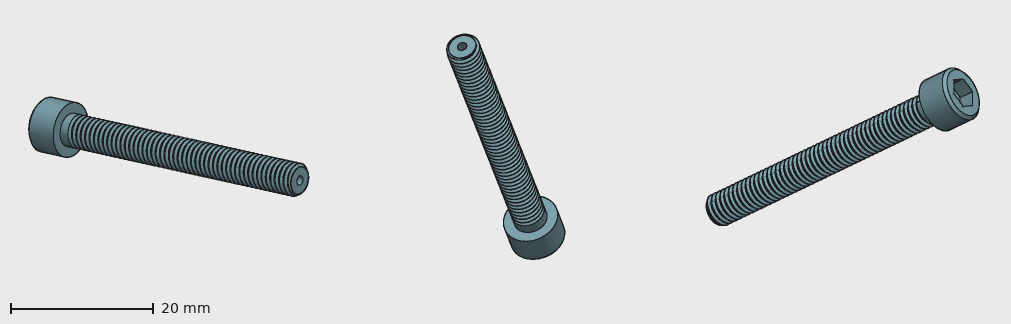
import cadquery as cq
import math

overall_length = 46.05
head_diameter = 7.85
head_height = 4.8
head_chamfer = 0.45
thread_diameter = 4.8
socket_width = 4.0
socket_depth = 2.3
bore_diameter = 1.35

groove_start_x = 6.15
thread_turns = 50.25
pitch = (overall_length - groove_start_x) / thread_turns
crest_width = pitch / 8
root_width = pitch / 4
flank_run = (pitch - crest_width - root_width) / 2
thread_depth = flank_run / math.tan(math.radians(30))

head_radius = head_diameter / 2
shank_radius = thread_diameter / 2
root_radius = shank_radius - thread_depth

cutter_overreach = 0.1


def screw_blank():
    """Head with a chamfered rim, and a plain shank coned at the tip from crest to root."""
    tip_cone_end_x = overall_length - root_width / 2
    profile = [
        (0, 0),
        (0, head_radius - head_chamfer),
        (head_chamfer, head_radius),
        (head_height, head_radius),
        (head_height, shank_radius),
        (tip_cone_end_x - flank_run, shank_radius),
        (tip_cone_end_x, root_radius),
        (overall_length, root_radius),
        (overall_length, 0),
    ]
    return cq.Workplane("XZ").polyline(profile).close().revolve(360, (0, 0, 0), (1, 0, 0))


def helix_turn(start_x, radius):
    """One turn of a right-hand helix about the X axis, starting on the +Y side."""
    turn = cq.Wire.makeHelix(pitch, pitch, radius)
    screw_plane = cq.Plane(origin=(start_x, 0, 0), xDir=(0, 1, 0), normal=(1, 0, 0))
    return turn.moved(cq.Location(screw_plane))


def thread_groove():
    """Helical V cutter that starts on the +Y side and runs out past the tip."""
    cutter_radius = shank_radius + cutter_overreach
    root_half = root_width / 2
    top_half = root_half + flank_run * (cutter_radius - root_radius) / thread_depth
    section = [
        (groove_start_x - root_half, root_radius),
        (groove_start_x + root_half, root_radius),
        (groove_start_x + top_half, cutter_radius),
        (groove_start_x - top_half, cutter_radius),
    ]
    turns = math.ceil(thread_turns) + 1
    advance = turns * pitch

    faces = []
    for turn in range(turns):
        helices = [helix_turn(x + turn * pitch, radius) for x, radius in section]
        for side in range(len(section)):
            faces.append(cq.Face.makeRuledSurface(helices[side - 1], helices[side]))
    for end_shift in (0, advance):
        corners = [cq.Vector(x + end_shift, radius, 0) for x, radius in section]
        faces.append(cq.Face.makeFromWires(cq.Wire.makePolygon(corners, close=True)))
    return cq.Workplane(cq.Solid.makeSolid(cq.Shell.makeShell(faces)))


def hex_socket():
    """Hexagonal recess with corners pointing up and down."""
    across_corners = socket_width / math.cos(math.radians(30))
    return (
        cq.Workplane("YZ")
        .transformed(rotate=(0, 0, 90))
        .polygon(6, across_corners)
        .extrude(socket_depth)
    )


def bore():
    """Round hole along the whole screw."""
    return cq.Workplane("YZ").circle(bore_diameter / 2).extrude(overall_length)


result = screw_blank().cut(thread_groove()).cut(hex_socket()).cut(bore())